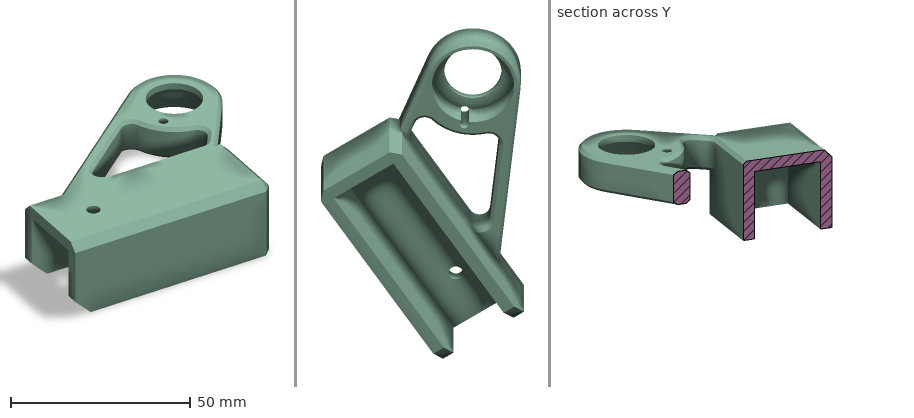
import cadquery as cq
import math

overall_width = 64.9
overall_length = 76.9

ring_radius = 13.4
bore_diameter = 16.0
counterbore_radius = 11.45
lip_thickness = 2.0
pin_hole_diameter = 2.8
pin_hole_x = 8.5
pin_hole_y = -8.8

block_width = 27.0
block_height = 23.5
block_right = overall_width - ring_radius
block_left = block_right - block_width
block_front = ring_radius - overall_length
block_length = 64.6
block_center_x = (block_left + block_right) / 2
block_chamfer = 2.45
wall = 3.5
foot_chamfer = 5.0
screw_hole_diameter = 4.0
screw_hole_y = -49.45

arm_thickness = 10
arm_chamfer = 1.0
arm_front_at_block = -50.9
rear_edge_angle = 55.4
arm_overlap = 10

front_strut = 4.0
rear_strut = 3.0
window_ring_radius = 16.0
window_fillet = 3.0

front_edge_angle = math.degrees(
    math.atan2(arm_front_at_block, block_left)
    - math.acos(ring_radius / math.hypot(block_left, arm_front_at_block))
)


def polar(radius, angle):
    """Point at a radius and an angle in degrees about the ring axis."""
    return radius * math.cos(math.radians(angle)), radius * math.sin(math.radians(angle))


def edge_y(distance, angle, x):
    """Y at a given X on the line with this normal angle and distance from the ring axis."""
    normal_x, normal_y = polar(1, angle)
    return (distance - normal_x * x) / normal_y


def make_block():
    block = (
        cq.Workplane("XY")
        .box(block_width, block_length, block_height, centered=(True, False, False))
        .translate((block_center_x, block_front, -block_height))
    )
    block = block.edges("(>Z and (not <Y)) or (|Z and >Y)").chamfer(block_chamfer)
    return block.edges("<Z and <Y").chamfer(foot_chamfer)


def make_window():
    front_distance = ring_radius - front_strut
    rear_distance = ring_radius - rear_strut
    front_start = polar(front_distance, front_edge_angle)
    rear_start = polar(rear_distance, rear_edge_angle)
    window = (
        cq.Workplane("XY")
        .polyline([
            (0, 0),
            front_start,
            (block_left, edge_y(front_distance, front_edge_angle, block_left)),
            (block_left, edge_y(rear_distance, rear_edge_angle, block_left)),
            rear_start,
        ])
        .close()
        .extrude(-arm_thickness)
    )
    ring = cq.Workplane("XY").circle(window_ring_radius).extrude(-arm_thickness)
    return window.cut(ring).edges("|Z").fillet(window_fillet)


def make_arm():
    arm_end = block_left + arm_overlap
    arm = (
        cq.Workplane("XY")
        .moveTo(*polar(ring_radius, rear_edge_angle))
        .threePointArc(
            polar(ring_radius, (rear_edge_angle + front_edge_angle + 360) / 2),
            polar(ring_radius, front_edge_angle),
        )
        .lineTo(arm_end, edge_y(ring_radius, front_edge_angle, arm_end))
        .lineTo(arm_end, edge_y(ring_radius, rear_edge_angle, arm_end))
        .close()
        .extrude(-arm_thickness)
        .cut(make_window())
    )
    return arm.faces("|Z").edges().chamfer(arm_chamfer)


def make_channel():
    """Slot between the side walls, open at the front and below."""
    return (
        cq.Workplane("XY")
        .box(
            block_width - 2 * wall,
            block_length - wall,
            block_height - wall,
            centered=(True, False, False),
        )
        .translate((block_center_x, block_front, -block_height))
    )


def make_hole(x, y, diameter):
    return cq.Workplane("XY").center(x, y).circle(diameter / 2).extrude(-block_height)


def make_counterbore():
    """Wider recess under the lip, open at the underside of the ring."""
    return (
        cq.Workplane("XY")
        .workplane(offset=-arm_thickness)
        .circle(counterbore_radius)
        .extrude(arm_thickness - lip_thickness)
    )


result = (
    make_block()
    .union(make_arm())
    .cut(make_channel())
    .cut(make_hole(0, 0, bore_diameter))
    .cut(make_counterbore())
    .cut(make_hole(pin_hole_x, pin_hole_y, pin_hole_diameter))
    .cut(make_hole(block_center_x, screw_hole_y, screw_hole_diameter))
)